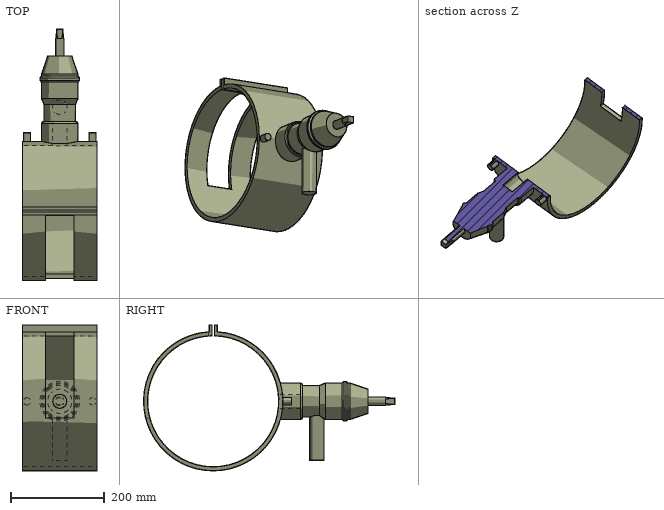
import cadquery as cq
import math

RING_OUTER_R = 149.0
RING_INNER_R = 140.0
RING_WIDTH = 160.0

SPLIT_GAP = 5.0
LUG_THICKNESS = 6.25
LUG_TOP_Z = 163.73

WINDOW_WIDTH = 60.0
WINDOW_BOTTOM_Z = -35.7
WINDOW_EDGE_Y = -10.0

BODY_START_Y = RING_INNER_R / 2
COLLAR_R = 39.25
COLLAR_RIM_R = 37.0
NECK_R = 34.0
BEAD_R = 42.5
NOSE_R = 26.0
COLLAR_CHAMFER_Y = 187.0
COLLAR_END_Y = 191.0
NECK_END_Y = 227.5
BARREL_START_Y = 240.5
BEAD_START_Y = 275.5
BEAD_LENGTH = 13.0
BEAD_CHAMFER = 4.0
CONE_START_Y = 292.5
NOSE_Y = 331.5

SPINDLE_R = 9.5
SPINDLE_END_Y = 388.93
SQUARE_LENGTH = 20.0
SQUARE_BASE_SIZE = 16.5
SQUARE_TIP_SIZE = 13.5

OUTLET_R = 15.5
OUTLET_Y = 222.0
OUTLET_BOTTOM_Z = -126.5

PIN_R = 7.75
PIN_SPACING = 140.0
PIN_END_Y = 167.5

BORE_R = 15.0
BORE_END_Y = COLLAR_CHAMFER_Y


def cylinder_along_y(radius, start_y, end_y, x=0.0):
    """Cylinder parallel to the Y axis at height Z = 0."""
    base = cq.Workplane("ZX", origin=(x, start_y, 0))
    return base.circle(radius).extrude(end_y - start_y)


def cylinder_along_x(radius):
    """Cylinder on the ring axis, as long as the ring is wide."""
    base = cq.Workplane("ZY", origin=(RING_WIDTH / 2, 0, 0))
    return base.circle(radius).extrude(RING_WIDTH)


def make_ring():
    ring = cylinder_along_x(RING_OUTER_R)
    lug_block_width = SPLIT_GAP + 2 * LUG_THICKNESS
    lugs = cq.Workplane("XY").box(RING_WIDTH, lug_block_width, LUG_TOP_Z, centered=(True, True, False))
    split = cq.Workplane("XY").box(RING_WIDTH, SPLIT_GAP, LUG_TOP_Z, centered=(True, True, False))
    return ring.union(lugs).cut(split)


def make_window():
    length = RING_OUTER_R + WINDOW_EDGE_Y
    height = RING_OUTER_R - WINDOW_BOTTOM_Z
    window = cq.Workplane("XY").box(WINDOW_WIDTH, length, height, centered=(True, False, False))
    return window.translate((0, -RING_OUTER_R, WINDOW_BOTTOM_Z))


def make_body():
    bead_end_y = BEAD_START_Y + BEAD_LENGTH
    profile = [
        (BODY_START_Y, 0),
        (BODY_START_Y, COLLAR_R),
        (COLLAR_CHAMFER_Y, COLLAR_R),
        (COLLAR_END_Y, COLLAR_RIM_R),
        (COLLAR_END_Y, NECK_R),
        (NECK_END_Y, NECK_R),
        (BARREL_START_Y, COLLAR_R),
        (BEAD_START_Y, COLLAR_R),
        (BEAD_START_Y + BEAD_CHAMFER, BEAD_R),
        (bead_end_y - BEAD_CHAMFER, BEAD_R),
        (bead_end_y, COLLAR_R),
        (CONE_START_Y, COLLAR_R),
        (NOSE_Y, NOSE_R),
        (NOSE_Y, 0),
    ]
    return cq.Workplane("YZ").polyline(profile).close().revolve(360, (0, 0, 0), (1, 0, 0))


def make_spindle():
    shoulder_y = SPINDLE_END_Y - SQUARE_LENGTH
    shank = cylinder_along_y(SPINDLE_R, NOSE_Y, shoulder_y)
    taper = math.degrees(math.atan((SQUARE_BASE_SIZE - SQUARE_TIP_SIZE) / 2 / SQUARE_LENGTH))
    square = (
        cq.Workplane("XZ", origin=(0, shoulder_y, 0))
        .rect(SQUARE_BASE_SIZE, SQUARE_BASE_SIZE)
        .extrude(-SQUARE_LENGTH, taper=taper)
    )
    square_end = square.intersect(cylinder_along_y(SPINDLE_R, shoulder_y, SPINDLE_END_Y))
    return shank.union(square_end)


def make_outlet():
    base = cq.Workplane("XY", origin=(0, OUTLET_Y, OUTLET_BOTTOM_Z))
    return base.circle(OUTLET_R).extrude(-OUTLET_BOTTOM_Z)


def make_pin(x):
    return cylinder_along_y(PIN_R, RING_INNER_R, PIN_END_Y, x)


ring = make_ring()
fittings = make_body().union(make_spindle()).union(make_outlet())
for side in (-1, 1):
    fittings = fittings.union(make_pin(side * PIN_SPACING / 2))

result = (
    ring.union(fittings)
    .cut(cylinder_along_x(RING_INNER_R))
    .cut(make_window())
    .cut(cylinder_along_y(BORE_R, 0, BORE_END_Y))
)